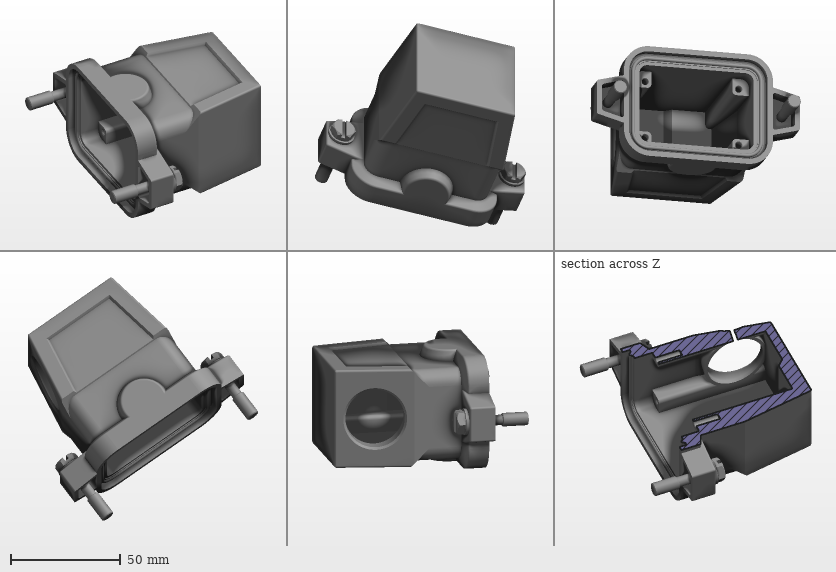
import cadquery as cq
import math


FLANGE_WIDTH = 70.4
FLANGE_HEIGHT = 53.0
FLANGE_DEPTH = 12.0
FLANGE_CORNER_RADIUS = 12.0
FLANGE_SLOPE_DEPTH = 2.2
FLANGE_EDGE_RADIUS = 1.0

FLANGE_STEP = 5.0
BODY_WIDTH = 60.0
BODY_HEIGHT = FLANGE_HEIGHT - 2 * FLANGE_STEP
BODY_CORNER_RADIUS = FLANGE_CORNER_RADIUS - FLANGE_STEP

HEAD_START = 34.0
HEAD_END = 70.0
HEAD_HEIGHT = 46.2
HEAD_END_WIDTH = 47.6
HEAD_EDGE_RADIUS = 1.0
TAPER_SLOPE = (BODY_WIDTH - HEAD_END_WIDTH) / 2 / (HEAD_END - HEAD_START)
TAPER_ANGLE = math.atan(TAPER_SLOPE)

PANEL_DEPTH = 1.1
PANEL_END = 63.3
PANEL_END_WIDTH = 35.7
PANEL_START = HEAD_START - 3.0

BUMP_BASE_RADIUS = 12.5
BUMP_CENTER_Y = 12.0
BUMP_DRAFT = 20.0
BUMP_EDGE_RADIUS = 1.2

RIM_WALL = 2.5
RECESS_DEPTH = 3.5
GASKET_GAP = 1.0
GASKET_STRIP_WIDTH = 3.0
GASKET_STRIP_HEIGHT = 0.5
BEAD_RADIUS = 0.9

WALL = 3.0
CAVITY_WIDTH = BODY_WIDTH - 2 * WALL
CAVITY_HEIGHT = BODY_HEIGHT - 2 * WALL
CAVITY_CORNER_RADIUS = BODY_CORNER_RADIUS - WALL
CAVITY_SHALLOW_END = 62.2
CAVITY_DEEP_END = 65.3
STEP_LEFT_X = 0.2
STEP_RIGHT_X = 3.3

PILLAR_START = 12.3
PILLAR_INNER_X = 19.1
PILLAR_INNER_Z = 10.6
PILLAR_EDGE_RADIUS = 2.0
PILLAR_HOLE_X = 22.1
PILLAR_HOLE_Z = 13.5
PILLAR_HOLE_RADIUS = 1.5
PILLAR_HOLE_DEPTH = 12.0
PILLAR_HOLE_CHAMFER = 0.3

ENTRY_CENTER_Y = 51.7
ENTRY_RADIUS = 13.6
ENTRY_CHAMFER = 1.0
ENTRY_LENGTH = 12.0
ENTRY_BOSS_RADIUS = 15.3
ENTRY_BOSS_INNER_X = -19.1

EAR_TIP_X = 48.0
EAR_TIP_HALF_HEIGHT = 8.1
EAR_FLANK_SLOPE = math.tan(math.radians(15))
EAR_ROOT_X = 29.0
EAR_EDGE_RADIUS = 1.0
EAR_WALL = 2.3
EAR_POCKET_DEPTH = 7.5
EAR_POCKET_TIP_RADIUS = 1.8
EAR_POCKET_ROOT_RADIUS = 1.0

SCREW_X = 41.1
SCREW_TIP_Y = -16.6
THREAD_RADIUS = 3.1
THREAD_START_Y = -4.5
THREAD_CHAMFER = 0.4
SHANK_RADIUS = 2.4
WASHER_RADIUS = 6.1
WASHER_THICKNESS = 1.4
NECK_THICKNESS = 0.4
HEX_CIRCUMRADIUS = 5.9
HEX_INRADIUS = HEX_CIRCUMRADIUS * math.cos(math.pi / 6)
HEX_TOP_Y = 17.4
HEX_CHAMFER_HEIGHT = 1.0
SLOT_WIDTH = 2.0
SLOT_DEPTH = 2.0


def rounded_block(width, height, radius, start, end):
    """Block centred on the Y axis, from Y = start to Y = end, with rounded corners along Y."""
    block = cq.Workplane("XZ", origin=(0, start, 0)).rect(width, height).extrude(start - end)
    return block.edges("|Y").fillet(radius)


def cylinder(x, z, radius, start, end):
    """Cylinder parallel to Y, from Y = start to Y = end."""
    return cq.Workplane("XZ", origin=(x, start, z)).circle(radius).extrude(start - end)


def with_mirror(solid, plane):
    return solid.union(solid.mirror(plane))


def make_flange():
    flange = rounded_block(FLANGE_WIDTH, FLANGE_HEIGHT, FLANGE_CORNER_RADIUS, 0, FLANGE_DEPTH)
    flange = flange.faces(">Y").chamfer(FLANGE_SLOPE_DEPTH, FLANGE_STEP)
    slope_start = FLANGE_DEPTH - FLANGE_SLOPE_DEPTH
    edge_zone = cq.selectors.BoxSelector(
        (-FLANGE_WIDTH, slope_start - FLANGE_EDGE_RADIUS / 2, -FLANGE_HEIGHT),
        (FLANGE_WIDTH, slope_start + FLANGE_EDGE_RADIUS / 2, FLANGE_HEIGHT),
    )
    return flange.edges(edge_zone).fillet(FLANGE_EDGE_RADIUS)


def make_head():
    """Tapered head whose lower end narrows at 45 degrees onto the rounded corners of the body."""
    half_end = HEAD_END_WIDTH / 2
    half_start = BODY_WIDTH / 2
    head = (
        cq.Workplane("XY", origin=(0, 0, -HEAD_HEIGHT / 2))
        .polyline(
            [
                (-half_start, HEAD_START),
                (half_start, HEAD_START),
                (half_end, HEAD_END),
                (-half_end, HEAD_END),
            ]
        )
        .close()
        .extrude(HEAD_HEIGHT)
    )
    head = head.edges("not <Y").fillet(HEAD_EDGE_RADIUS)
    shoulder_start = HEAD_START - BODY_CORNER_RADIUS
    shoulder = (
        cq.Workplane("XY")
        .box(BODY_WIDTH, BODY_CORNER_RADIUS, BODY_HEIGHT, centered=(True, False, True))
        .translate((0, shoulder_start, 0))
    )
    low = BODY_HEIGHT / 2 - BODY_CORNER_RADIUS
    high = HEAD_HEIGHT / 2
    high_start = shoulder_start + high - low
    side_profile = (
        cq.Workplane("YZ", origin=(-BODY_WIDTH / 2, 0, 0))
        .polyline(
            [
                (shoulder_start, -low),
                (high_start, -high),
                (HEAD_END, -high),
                (HEAD_END, high),
                (high_start, high),
                (shoulder_start, low),
            ]
        )
        .close()
        .extrude(BODY_WIDTH)
    )
    return head.union(shoulder).intersect(side_profile)


def make_panel_recess():
    """Recess in the upper head face, open towards the body."""
    half_end = PANEL_END_WIDTH / 2
    half_start = half_end + (PANEL_END - PANEL_START) * TAPER_SLOPE
    return (
        cq.Workplane("XY", origin=(0, 0, HEAD_HEIGHT / 2))
        .polyline(
            [
                (-half_start, PANEL_START),
                (half_start, PANEL_START),
                (half_end, PANEL_END),
                (-half_end, PANEL_END),
            ]
        )
        .close()
        .extrude(-PANEL_DEPTH, taper=45)
    )


def make_bump():
    """Drafted round bump on the upper body face, level with the flange."""
    bump = (
        cq.Workplane("XY", origin=(0, BUMP_CENTER_Y, BODY_HEIGHT / 2))
        .circle(BUMP_BASE_RADIUS)
        .extrude(FLANGE_STEP, taper=BUMP_DRAFT)
    )
    bump = bump.faces(">Z").edges().fillet(BUMP_EDGE_RADIUS)
    front_zone = cq.Workplane("XY").box(FLANGE_WIDTH, FLANGE_DEPTH, FLANGE_HEIGHT)
    return bump.cut(front_zone)


def ear_outline(tip_x, root_x, wall):
    """Trapezoid of the right ear, moved inwards by the wall thickness."""
    inset = wall / math.cos(math.atan(EAR_FLANK_SLOPE))
    tip = EAR_TIP_HALF_HEIGHT + (EAR_TIP_X - tip_x) * EAR_FLANK_SLOPE - inset
    root = EAR_TIP_HALF_HEIGHT + (EAR_TIP_X - root_x) * EAR_FLANK_SLOPE - inset
    points = [(root_x, -root), (tip_x, -tip), (tip_x, tip), (root_x, root)]
    return cq.Workplane("XZ").polyline(points).close()


def make_ear():
    ear = ear_outline(EAR_TIP_X, EAR_ROOT_X, 0).extrude(-FLANGE_DEPTH)
    ear = ear.edges("|Y and >X").fillet(EAR_EDGE_RADIUS)
    return ear.faces(">Y").edges("not <X").fillet(EAR_EDGE_RADIUS)


def make_ear_pocket():
    pocket = ear_outline(EAR_TIP_X - EAR_WALL, FLANGE_WIDTH / 2, EAR_WALL).extrude(-EAR_POCKET_DEPTH)
    pocket = pocket.edges("|Y and >X").fillet(EAR_POCKET_TIP_RADIUS)
    return pocket.edges("|Y and <X").fillet(EAR_POCKET_ROOT_RADIUS)


def make_pillar():
    """Upper right pillar; the cavity outline trims its outer sides."""
    pillar = (
        cq.Workplane("XZ", origin=(0, PILLAR_START, 0))
        .rect(BODY_WIDTH / 2 - PILLAR_INNER_X, BODY_HEIGHT / 2 - PILLAR_INNER_Z, centered=False)
        .extrude(PILLAR_START - HEAD_END)
        .translate((PILLAR_INNER_X, 0, PILLAR_INNER_Z))
    )
    return pillar.edges("|Y and <X and <Z").fillet(PILLAR_EDGE_RADIUS)


def make_pillar_hole():
    """Blind screw hole of the upper right pillar, with a 45 degree countersunk mouth."""
    hole_end = PILLAR_START + PILLAR_HOLE_DEPTH
    hole = cylinder(PILLAR_HOLE_X, PILLAR_HOLE_Z, PILLAR_HOLE_RADIUS, PILLAR_START, hole_end)
    mouth = (
        cq.Workplane("XZ", origin=(PILLAR_HOLE_X, PILLAR_START, PILLAR_HOLE_Z))
        .circle(PILLAR_HOLE_RADIUS + PILLAR_HOLE_CHAMFER)
        .extrude(-PILLAR_HOLE_CHAMFER, taper=45)
    )
    return hole.union(mouth)


def entry_plane():
    """Plane on the left head face, facing inwards along the cable entry."""
    face_x = -BODY_WIDTH / 2 + (ENTRY_CENTER_Y - HEAD_START) * TAPER_SLOPE
    inward = (math.cos(TAPER_ANGLE), -math.sin(TAPER_ANGLE), 0)
    return cq.Plane(origin=(face_x, ENTRY_CENTER_Y, 0), xDir=(0, 0, 1), normal=inward)


def make_entry_boss():
    """Round boss inside the cavity, around the cable entry, ending flat at its inner end."""
    boss = cq.Workplane(entry_plane()).circle(ENTRY_BOSS_RADIUS).extrude(2 * ENTRY_LENGTH)
    left_zone = (
        cq.Workplane("XY")
        .box(BODY_WIDTH, 2 * HEAD_END, BODY_HEIGHT)
        .translate((ENTRY_BOSS_INNER_X - BODY_WIDTH / 2, 0, 0))
    )
    return boss.intersect(left_zone)


def make_entry_bore():
    bore = cq.Workplane(entry_plane()).circle(ENTRY_RADIUS).extrude(ENTRY_LENGTH)
    mouth_radius = ENTRY_RADIUS + ENTRY_CHAMFER
    mouth = cq.Workplane(entry_plane()).circle(mouth_radius).extrude(ENTRY_CHAMFER, taper=45)
    return bore.union(mouth)


def make_cavity():
    """Inner space of the hood, leaving the pillars and the boss of the cable entry standing."""
    half = CAVITY_WIDTH / 2
    right_end = half - (CAVITY_SHALLOW_END - HEAD_START) * TAPER_SLOPE
    left_end = half - (CAVITY_DEEP_END - HEAD_START) * TAPER_SLOPE
    cavity = (
        cq.Workplane("XY", origin=(0, 0, -CAVITY_HEIGHT / 2))
        .polyline(
            [
                (-half, 0),
                (half, 0),
                (half, HEAD_START),
                (right_end, CAVITY_SHALLOW_END),
                (STEP_RIGHT_X, CAVITY_SHALLOW_END),
                (STEP_LEFT_X, CAVITY_DEEP_END),
                (-left_end, CAVITY_DEEP_END),
                (-half, HEAD_START),
            ]
        )
        .close()
        .extrude(CAVITY_HEIGHT)
    )
    section = rounded_block(CAVITY_WIDTH, CAVITY_HEIGHT, CAVITY_CORNER_RADIUS, 0, HEAD_END)
    cavity = cavity.intersect(section)
    pillars = with_mirror(with_mirror(make_pillar(), "YZ"), "XY")
    return cavity.cut(pillars).cut(make_entry_boss())


def rim_block(inset, start, end):
    """Block following the flange outline at a given distance inside it."""
    return rounded_block(
        FLANGE_WIDTH - 2 * inset,
        FLANGE_HEIGHT - 2 * inset,
        FLANGE_CORNER_RADIUS - inset,
        start,
        end,
    )


def rim_ring(inset, width, start, end):
    return rim_block(inset, start, end).cut(rim_block(inset + width, start, end))


def make_gasket():
    """Flat gasket strip with a round bead half sunk into it."""
    strip_inset = RIM_WALL + GASKET_GAP
    strip_top = RECESS_DEPTH - GASKET_STRIP_HEIGHT
    strip = rim_ring(strip_inset, GASKET_STRIP_WIDTH, strip_top, RECESS_DEPTH)
    bead_inset = strip_inset + GASKET_STRIP_WIDTH / 2
    bead_path = rim_block(bead_inset, strip_top, RECESS_DEPTH).faces("<Y").wires()
    bead = (
        cq.Workplane("YZ", origin=(0, strip_top, FLANGE_HEIGHT / 2 - bead_inset))
        .circle(BEAD_RADIUS)
        .sweep(bead_path)
    )
    return strip.union(bead)


def make_screw():
    """Right captive screw with washer and slotted hexagon head."""
    washer_top = FLANGE_DEPTH + WASHER_THICKNESS
    hex_start = washer_top + NECK_THICKNESS
    thread = cylinder(SCREW_X, 0, THREAD_RADIUS, SCREW_TIP_Y, THREAD_START_Y)
    thread = thread.edges().chamfer(THREAD_CHAMFER)
    shank = cylinder(SCREW_X, 0, SHANK_RADIUS, THREAD_START_Y, FLANGE_DEPTH)
    washer = cylinder(SCREW_X, 0, WASHER_RADIUS, FLANGE_DEPTH, washer_top)
    neck = cylinder(SCREW_X, 0, HEX_INRADIUS, washer_top, hex_start)
    head = (
        cq.Workplane("XZ", origin=(SCREW_X, hex_start, 0))
        .polygon(6, 2 * HEX_CIRCUMRADIUS)
        .extrude(hex_start - HEX_TOP_Y)
    )
    corner_trim = cylinder(SCREW_X, 0, HEX_CIRCUMRADIUS, hex_start, HEX_TOP_Y)
    corner_trim = corner_trim.faces(">Y").chamfer(HEX_CHAMFER_HEIGHT)
    slot = (
        cq.Workplane("XY")
        .box(SLOT_WIDTH, 2 * SLOT_DEPTH, 2 * HEX_CIRCUMRADIUS)
        .translate((SCREW_X, HEX_TOP_Y, 0))
    )
    head = head.intersect(corner_trim).cut(slot)
    return thread.union(shank).union(washer).union(neck).union(head)


hood = rounded_block(BODY_WIDTH, BODY_HEIGHT, BODY_CORNER_RADIUS, 0, HEAD_START)
hood = hood.union(make_head())
hood = hood.cut(with_mirror(make_panel_recess(), "XY"))
hood = hood.union(make_flange())
hood = hood.union(make_bump()).union(make_bump().mirror("XY"))
hood = hood.union(make_ear()).union(make_ear().mirror("YZ"))
hood = hood.cut(make_ear_pocket()).cut(make_ear_pocket().mirror("YZ"))

hood = hood.cut(rim_block(RIM_WALL, 0, RECESS_DEPTH))
hood = hood.cut(make_cavity())
hood = hood.cut(with_mirror(with_mirror(make_pillar_hole(), "YZ"), "XY"))
hood = hood.cut(make_entry_bore())

hood = hood.union(make_gasket())
result = hood.union(make_screw()).union(make_screw().mirror("YZ"))